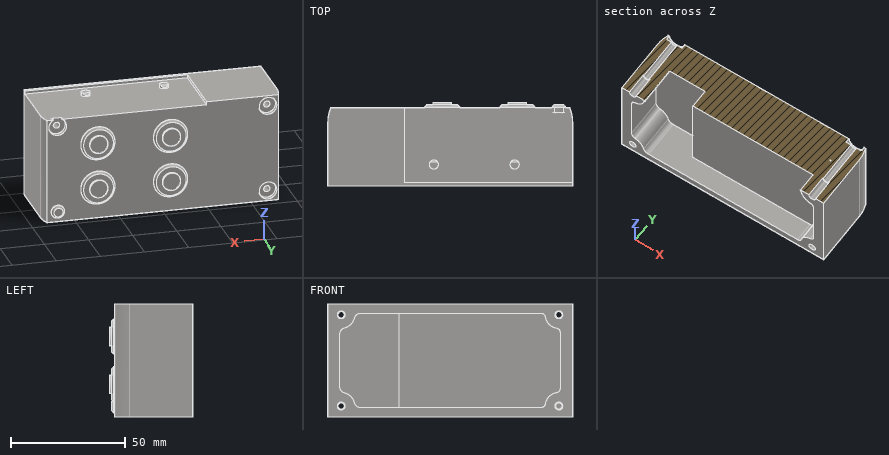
import cadquery as cq
import math

length = 107.3
depth = 34.3
height = 49.6

corner_run = 6.2
corner_inset = 1.2
corner_land = 0.3

recess_start = 33.7
recess_depth = 1.4
rim_thickness = 1.6

cavity_left = 5.3
cavity_right = 101.8
cavity_margin = 4.2
shallow_depth = 9.7
deep_depth = 19.0
floor_step = 31.1
lobe_diameter = 11.9
left_lobe_fillet = 2.7
right_lobe_fillet = 1.9

hole_left = 5.9
hole_right = 101.2
hole_margin = 4.8
hole_mouth_diameter = 3.4
hole_mouth_depth = 10.7
hole_diameter = 2.8
counterbore_diameter = 7.9
counterbore_depth = 2.1

pin_diameter = 4.0
pin_places = (46.5, 81.9)
pin_y = 9.4
pin_bevel_offset = 1.1

disc_height = 1.3
disc_rim = 0.3

cap_columns = (50.1, 83.0)
cap_spacing = 20.9
cap_rows = ((height - cap_spacing) / 2, (height + cap_spacing) / 2)
cap_diameter = 15.5
boss_diameter = 8.2
boss_height = 2.1

button_diameter = 6.0

closed_hole = (hole_right, hole_margin)
open_holes = (
    (hole_left, hole_margin),
    (hole_left, height - hole_margin),
    (hole_right, height - hole_margin),
)
all_holes = open_holes + (closed_hole,)


def rod(x, z, diameter, y_start, y_end):
    """Cylinder along Y between two depths."""
    rod_length = y_end - y_start
    axis = cq.Vector(0, 1, 0)
    solid = cq.Solid.makeCylinder(diameter / 2, rod_length, cq.Vector(x, y_start, z), axis)
    return cq.Workplane(obj=solid)


def bevelled_disc(x, z, diameter):
    """Disc on the back face with a short straight rim below a 45 degree bevel."""
    disc = rod(x, z, diameter, depth, depth + disc_height)
    return disc.faces(">Y").chamfer(disc_height - disc_rim)


def make_block():
    arc_radius = (corner_run**2 + corner_inset**2) / (2 * corner_inset)
    half_angle = math.asin(corner_run / arc_radius) / 2
    mid_inset = arc_radius * (1 - math.cos(half_angle))
    arc_end = depth - corner_land
    arc_start = arc_end - corner_run
    mid_y = arc_start + arc_radius * math.sin(half_angle)
    block = (
        cq.Workplane("XY")
        .lineTo(length, 0)
        .lineTo(length, arc_start)
        .threePointArc((length - mid_inset, mid_y), (length - corner_inset, arc_end))
        .lineTo(length - corner_inset, depth)
        .lineTo(corner_inset, depth)
        .lineTo(corner_inset, arc_end)
        .threePointArc((mid_inset, mid_y), (0, arc_start))
        .close()
        .extrude(height)
    )
    recess = cq.Workplane("XY").box(
        length - recess_start, depth, recess_depth, centered=False
    ).translate((recess_start, rim_thickness, height - recess_depth))
    return block.cut(recess)


def make_cavity():
    """Rectangle with its corners cut by round lobes about the screw holes, in two depths."""
    clear_height = height - 2 * cavity_margin
    cavity = cq.Workplane("XY").box(
        cavity_right - cavity_left, deep_depth, clear_height, centered=False
    ).translate((cavity_left, 0, cavity_margin))
    for x, z in all_holes:
        cavity = cavity.cut(rod(x, z, lobe_diameter, 0, deep_depth))
    for x_start, fillet in ((0, left_lobe_fillet), (length / 2, right_lobe_fillet)):
        end_half = cq.selectors.BoxSelector((x_start, 0, 0), (x_start + length / 2, depth, height))
        cavity = cavity.edges("|Y").edges(end_half).fillet(fillet)
    step = cq.Workplane("XY").box(
        length - floor_step, deep_depth, height, centered=False
    ).translate((floor_step, shallow_depth, 0))
    return cavity.cut(step)


def make_pin(x):
    """Round pin, level with the rim, with a bevel along its back."""
    radius = pin_diameter / 2
    bevel = radius - pin_bevel_offset
    pin = cq.Workplane("XY").circle(radius).extrude(recess_depth)
    wedge = (
        cq.Workplane("YZ")
        .moveTo(pin_bevel_offset, recess_depth)
        .lineTo(radius, recess_depth)
        .lineTo(radius, recess_depth - bevel)
        .close()
        .extrude(radius, both=True)
    )
    return pin.cut(wedge).translate((x, pin_y, height - recess_depth))


result = make_block().cut(make_cavity())

for x, z in all_holes:
    result = result.cut(rod(x, z, hole_mouth_diameter, 0, hole_mouth_depth))
    result = result.cut(rod(x, z, hole_diameter, 0, depth))
for x, z in open_holes:
    result = result.cut(rod(x, z, counterbore_diameter, depth - counterbore_depth, depth))

for x in pin_places:
    result = result.union(make_pin(x))

for x in cap_columns:
    for z in cap_rows:
        result = result.union(bevelled_disc(x, z, cap_diameter))
        result = result.union(rod(x, z, boss_diameter, depth, depth + boss_height))

result = result.union(bevelled_disc(*closed_hole, button_diameter))